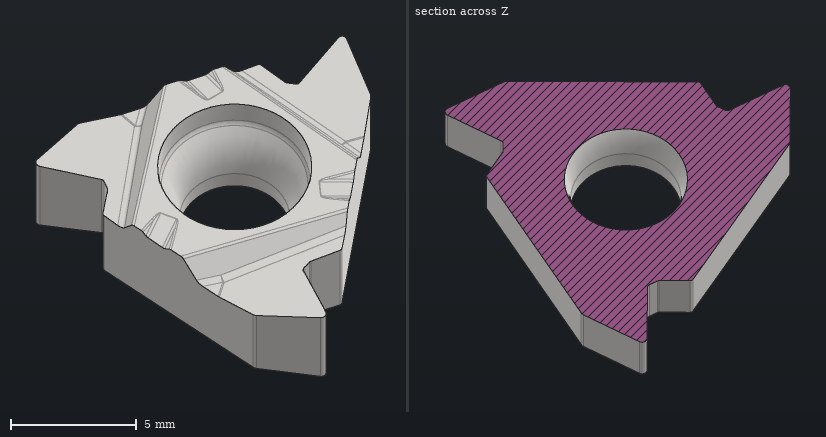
import cadquery as cq
import math

thickness = 4.39
inscribed_radius = 4.76
teeth = 3
tooth_pitch = 360 / teeth

tooth_top = 0.9
flank_distance = 6.53
flank_normal = -30.0
shoulder_distance = 4.91
tooth_bisector = 30.0
side_normal = 60.0
tip_radius = 0.2
root_radius = 0.14
shoulder_radius = 0.14
side_corner_radius = 0.28

rake_angle = 10.0
rake_reach = 7.2
rake_height = 4.04
heel_angle = 4.6
heel_height = 3.3
wall_angle = 57.0
wall_distance = 3.48
wall_turn = -1.8
wall_root_radius = 0.3
wall_edge_radius = 0.14

hole_diameter = 4.4
head_diameter = 6.13
head_taper = 3.5
head_depth = 1.15
seat_radius = 3.99
seat_blend_radius = 0.48

notch_start_x = -3.52
notch_start_y = 0.55
notch_turn = 14.3
notch_ramp = 9.3
notch_floor_width = 0.82
notch_wall_angle = 37.0
notch_root_radius = 0.2
notch_edge_radius = 0.14
notch_reach = 2.06
notch_clearance = 0.82

stock_size = 27.5


def nearest(point):
    """Selector of the edge whose centre is closest to a point."""
    return cq.selectors.NearestToPointSelector(point)


def line_crossing(normal_a, distance_a, normal_b, distance_b):
    """Meeting point of two lines given by normal direction and distance from the origin."""
    a = math.radians(normal_a)
    b = math.radians(normal_b)
    span = math.sin(b - a)
    x = (distance_a * math.sin(b) - distance_b * math.sin(a)) / span
    y = (distance_b * math.cos(a) - distance_a * math.cos(b)) / span
    return x, y


def around_teeth(shape):
    """Copies of a shape, one per tooth."""
    return [shape.rotate((0, 0, 0), (0, 0, 1), i * tooth_pitch) for i in range(teeth)]


def turn_point(point, angle):
    """Plan point turned about the hole axis."""
    a = math.radians(angle)
    x, y = point
    return x * math.cos(a) - y * math.sin(a), x * math.sin(a) + y * math.cos(a)


def outline_body():
    """Prism with three teeth, its vertical corners rounded."""
    corners = [
        (line_crossing(-side_normal, inscribed_radius, flank_normal, flank_distance), side_corner_radius),
        (line_crossing(flank_normal, flank_distance, 90, tooth_top), tip_radius),
        (line_crossing(90, tooth_top, tooth_bisector, shoulder_distance), root_radius),
        (line_crossing(tooth_bisector, shoulder_distance, 0, shoulder_distance), root_radius),
        (line_crossing(0, shoulder_distance, side_normal, inscribed_radius), shoulder_radius),
    ]
    points = [turn_point(point, i * tooth_pitch) for i in range(teeth) for point, _ in corners]
    body = cq.Workplane("XY").polyline(points).close().extrude(thickness)
    for point, radius in corners:
        for i in range(teeth):
            x, y = turn_point(point, i * tooth_pitch)
            edge = nearest((x, y, thickness / 2))
            body = body.edges(edge).fillet(radius)
    return body


def space_beyond(point, normal):
    """Large block filling the side of a plane that its normal points to."""
    return cq.Workplane(cq.Plane(point, normal=normal)).rect(stock_size, stock_size).extrude(stock_size)


def tilted_normal(direction, angle):
    """Upward normal of a plane that rises by an angle toward a compass direction."""
    d = math.radians(direction)
    a = math.radians(angle)
    return -math.sin(a) * math.cos(d), -math.sin(a) * math.sin(d), math.cos(a)


def point_toward(direction, distance, height):
    """Point at a distance from the hole axis along a compass direction."""
    d = math.radians(direction)
    return distance * math.cos(d), distance * math.sin(d), height


def chip_breaker():
    """Space above the first tooth: outside the wall, above the rake and above the heel floor."""
    wall = space_beyond(point_toward(wall_turn, wall_distance, thickness),
                        tilted_normal(wall_turn, -wall_angle))
    rake = space_beyond(point_toward(tooth_bisector, rake_reach, rake_height),
                        tilted_normal(tooth_bisector, rake_angle))
    heel = space_beyond(point_toward(-side_normal, inscribed_radius, heel_height),
                        tilted_normal(-side_normal, heel_angle))
    cutter = wall.intersect(rake).intersect(heel)
    return cutter.vertices("<Z").ancestors("Edge").fillet(wall_root_radius)


def screw_hole():
    """Tapered head, blended into a convex seat that runs tangent into the straight hole."""
    hole_radius = hole_diameter / 2
    head_radius = head_diameter / 2
    seat_top = thickness - head_depth
    seat_top_radius = head_radius - head_depth * math.tan(math.radians(head_taper))
    sweep = math.acos(1 - (seat_top_radius - hole_radius) / seat_radius)
    seat_bottom = seat_top - seat_radius * math.sin(sweep)
    seat_middle = (hole_radius + seat_radius * (1 - math.cos(sweep / 2)),
                   seat_bottom + seat_radius * math.sin(sweep / 2))
    profile = (
        cq.Workplane("XZ")
        .moveTo(0, 0)
        .lineTo(hole_radius, 0)
        .lineTo(hole_radius, seat_bottom)
        .threePointArc(seat_middle, (seat_top_radius, seat_top))
        .lineTo(head_radius, thickness)
        .lineTo(0, thickness)
        .close()
    )
    hole = profile.revolve(360, (0, 0, 0), (0, 1, 0))
    blend_circle = nearest((0, 0, seat_top))
    return hole.edges(blend_circle).fillet(seat_blend_radius)


def notch():
    """Flared channel that starts at the top face and ramps down past the long side."""
    turn = math.radians(notch_turn)
    ramp = math.radians(notch_ramp)
    flare = notch_clearance / math.tan(math.radians(notch_wall_angle))
    downhill = (-math.cos(ramp) * math.cos(turn), -math.cos(ramp) * math.sin(turn), -math.sin(ramp))
    across = (math.sin(turn), -math.cos(turn), 0)
    start = cq.Plane((notch_start_x, notch_start_y, thickness), xDir=across, normal=downhill)
    half = notch_floor_width / 2
    section = [(-half, 0), (half, 0), (half + flare, notch_clearance), (-half - flare, notch_clearance)]
    channel = cq.Workplane(start).polyline(section).close().extrude(notch_reach)
    for side in (-half, half):
        middle = start.toWorldCoords((side, 0, notch_reach / 2)).toTuple()
        channel = channel.edges(nearest(middle)).fillet(notch_root_radius)
    return channel


def cut_chip_breakers(body):
    """Cut above every tooth, then round the upper edge of each wall."""
    for cutter in around_teeth(chip_breaker()):
        body = body.cut(cutter)
    for i in range(teeth):
        wall_top = point_toward(wall_turn + i * tooth_pitch, wall_distance, thickness)
        body = body.edges(nearest(wall_top)).fillet(wall_edge_radius)
    return body


def cut_notches(body):
    """Cut a notch at every long side, then round its rim."""
    for cutter in around_teeth(notch()):
        body = body.cut(cutter)
    for i in range(teeth):
        x, y = turn_point((notch_start_x, notch_start_y), i * tooth_pitch)
        body = body.edges(nearest((x, y, thickness))).fillet(notch_edge_radius)
    return body


insert = cut_chip_breakers(outline_body())
insert = insert.cut(screw_hole())
result = cut_notches(insert)